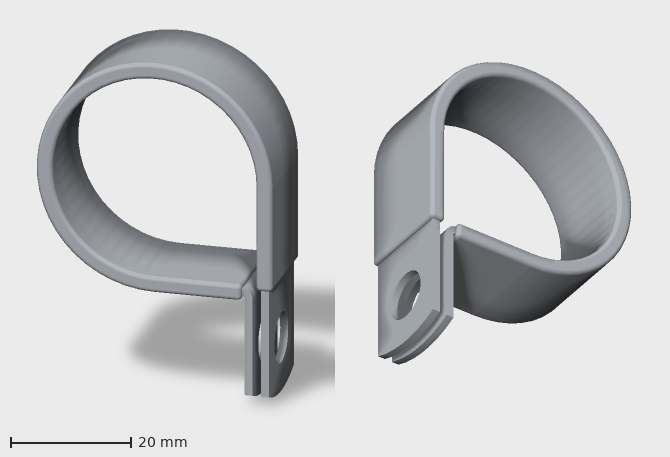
import cadquery as cq
import math

outer_radius = 20.25
overall_height = 59.1
cushion_width = 17.45
cushion_cover = 0.7
strap_thickness = 1.35
lower_arm_end = 14.95
side_arm_end = -18.3
tab_gap = 1.4
tab_end_sag = 1.7
hole_diameter = 8.75
hole_z = -29.35

strap_width = cushion_width - 2 * cushion_cover
cushion_thickness = strap_thickness + 2 * cushion_cover
inner_radius = outer_radius - cushion_thickness
middle_radius = outer_radius - cushion_thickness / 2
tab_bottom = outer_radius - overall_height

strap_outer = outer_radius - cushion_cover
strap_inner = strap_outer - strap_thickness
inner_tab_right = strap_inner - tab_gap
inner_tab_left = inner_tab_right - strap_thickness
bend_inner_radius = inner_tab_left - lower_arm_end
bend_outer_radius = bend_inner_radius + strap_thickness
bend_center_z = -strap_outer - bend_inner_radius

diagonal = math.sqrt(0.5)


def extrude_across(profile, width):
    """Extrude an XZ profile symmetrically about Y = 0."""
    return profile.extrude(width / 2, both=True)


def make_cushion():
    """Three-quarter ring with two straight arms, rounded on all outer edges."""
    profile = (
        cq.Workplane("XZ")
        .moveTo(outer_radius, side_arm_end)
        .lineTo(outer_radius, 0)
        .threePointArc((-outer_radius * diagonal, outer_radius * diagonal), (0, -outer_radius))
        .lineTo(lower_arm_end, -outer_radius)
        .lineTo(lower_arm_end, -inner_radius)
        .lineTo(0, -inner_radius)
        .threePointArc((-inner_radius * diagonal, inner_radius * diagonal), (inner_radius, 0))
        .lineTo(inner_radius, side_arm_end)
        .close()
    )
    body = extrude_across(profile, cushion_width)
    lower_end = cq.selectors.NearestToPointSelector((lower_arm_end, 0, -middle_radius))
    side_end = cq.selectors.NearestToPointSelector((middle_radius, 0, side_arm_end))
    rounded_faces = body.faces("<Y").add(body.faces(">Y"))
    rounded_faces = rounded_faces.add(body.faces(lower_end)).add(body.faces(side_end))
    return rounded_faces.edges().fillet(cushion_cover)


def make_inner_tab():
    """Strap leaving the horizontal arm and bending down into a tab."""
    root_x = lower_arm_end - cushion_thickness
    profile = (
        cq.Workplane("XZ")
        .moveTo(root_x, -strap_inner)
        .lineTo(lower_arm_end, -strap_inner)
        .threePointArc(
            (lower_arm_end + bend_outer_radius * diagonal, bend_center_z + bend_outer_radius * diagonal),
            (inner_tab_right, bend_center_z),
        )
        .lineTo(inner_tab_right, tab_bottom)
        .lineTo(inner_tab_left, tab_bottom)
        .lineTo(inner_tab_left, bend_center_z)
        .threePointArc(
            (lower_arm_end + bend_inner_radius * diagonal, bend_center_z + bend_inner_radius * diagonal),
            (lower_arm_end, -strap_outer),
        )
        .lineTo(root_x, -strap_outer)
        .close()
    )
    return extrude_across(profile, strap_width)


def make_outer_tab():
    """Straight strap continuing down from the vertical arm."""
    root_z = side_arm_end + cushion_thickness
    profile = (
        cq.Workplane("XZ")
        .moveTo(strap_inner, root_z)
        .lineTo(strap_outer, root_z)
        .lineTo(strap_outer, tab_bottom)
        .lineTo(strap_inner, tab_bottom)
        .close()
    )
    return extrude_across(profile, strap_width)


def make_tab_outline():
    """Block along X with the rounded tab end and the bolt hole, used to trim the tabs."""
    half_width = strap_width / 2
    corner_z = tab_bottom + tab_end_sag
    return (
        cq.Workplane("YZ")
        .moveTo(-half_width, 0)
        .lineTo(-half_width, corner_z)
        .threePointArc((0, tab_bottom), (half_width, corner_z))
        .lineTo(half_width, 0)
        .close()
        .moveTo(0, hole_z)
        .circle(hole_diameter / 2)
        .extrude(outer_radius)
    )


tabs = make_inner_tab().add(make_outer_tab()).combine().intersect(make_tab_outline())
result = make_cushion().union(tabs)